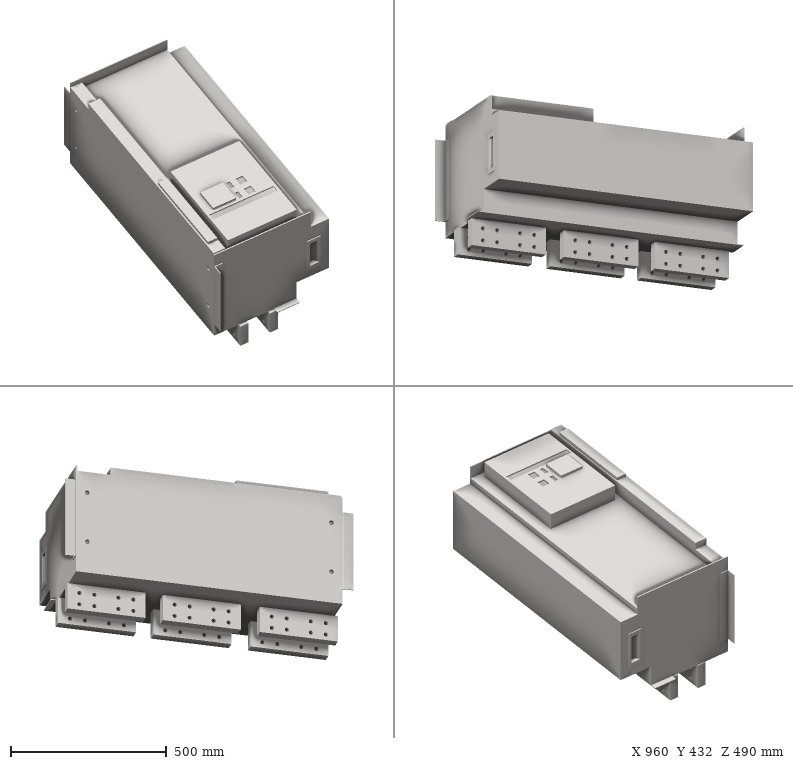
import cadquery as cq


housing_width = 888
housing_depth = 309
housing_height = 332
half_width = housing_width / 2
back_block_front = 364
back_block_rear = 432
back_block_bottom = 78
back_block_top = 309

side_plate_thickness = 4
side_plate_top = 378
front_wall_depth = 43.5
front_wall_top = 384
inner_half_width = half_width - side_plate_thickness
notch_right = -329
notch_floor = 358
top_bar_x = (91, 398)
top_bar_y = (5, 40)
top_bar_top = 396

front_hole_diameter = 16
front_hole_depth = 10
front_hole_x = 407
front_hole_heights = (110, 284)

panel_x = (67.5, 420.5)
panel_y = (66, 324.5)
panel_top = 390
display_x = (203, 283)
display_y = (95, 180)
display_top = 400
button_width = 28.5
button_starts = (display_x[0], display_x[1] - button_width)
button_rows = ((193, 206), (227.5, 254))
panel_slot_x = (293, 317)
panel_slot_y = (72.5, 315)
panel_recess_depth = 5

grip_y = 374.5
grip_z = 182
grip_frame_width = 50
grip_frame_height = 134
grip_frame_thickness = 3
grip_pocket_width = 33
grip_pocket_height = 104

sheet_thickness = 3
angle_reach = 480
angle_depth = 29.5
angle_z = (54, 326)
tab_reach = 464.5
tab_y = (225, 309)

bar_centers = (-317, 0.5, 324)
bar_width = 260
bar_thickness = 31
bar_rows_y = (92, 203)
bar_length = 90
bar_hole_diameter = 14
bar_hole_offsets = (-90, -40, 40, 90)
bar_hole_heights = (-30, -70)


def block(x, y, z):
    """Box spanning the (low, high) limits given for each axis."""
    size = (x[1] - x[0], y[1] - y[0], z[1] - z[0])
    return cq.Workplane("XY").box(*size, centered=False).translate((x[0], y[0], z[0]))


def both_sides(solid):
    """Add the mirror image of a solid across the middle of the width."""
    return solid.union(solid.mirror("YZ"))


def cylinder_along_y(x, z, diameter, y_start, length):
    center = cq.Vector(x, y_start, z)
    return cq.Workplane(cq.Solid.makeCylinder(diameter / 2, length, center, cq.Vector(0, 1, 0)))


def make_housing():
    profile = [
        (0, 0),
        (housing_depth, 0),
        (housing_depth, back_block_bottom),
        (back_block_rear, back_block_bottom),
        (back_block_rear, back_block_top),
        (back_block_front, back_block_top),
        (back_block_front, housing_height),
        (0, housing_height),
    ]
    return cq.Workplane("YZ").polyline(profile).close().extrude(half_width, both=True)


def make_front_wall():
    wall_y = (0, front_wall_depth)
    low_part = block((-half_width, half_width), wall_y, (0, notch_floor))
    high_part = block((notch_right, inner_half_width), wall_y, (0, front_wall_top))
    top_bar = block(top_bar_x, top_bar_y, (notch_floor, top_bar_top))
    return low_part.union(high_part).union(top_bar)


def make_side_plates():
    plate = block((inner_half_width, half_width), (0, back_block_front), (back_block_top, side_plate_top))
    return both_sides(plate)


def cut_front_holes(body):
    for x in (-front_hole_x, front_hole_x):
        for z in front_hole_heights:
            body = body.cut(cylinder_along_y(x, z, front_hole_diameter, 0, front_hole_depth))
    return body


def make_panel():
    panel = block(panel_x, panel_y, (housing_height, panel_top))
    panel = panel.union(block(display_x, display_y, (housing_height, display_top)))
    recess_z = (panel_top - panel_recess_depth, panel_top)
    for x_start in button_starts:
        for row in button_rows:
            panel = panel.cut(block((x_start, x_start + button_width), row, recess_z))
    return panel.cut(block(panel_slot_x, panel_slot_y, recess_z))


def make_grip_frames():
    half_frame = grip_frame_width / 2
    half_height = grip_frame_height / 2
    frame = block(
        (half_width, half_width + grip_frame_thickness),
        (grip_y - half_frame, grip_y + half_frame),
        (grip_z - half_height, grip_z + half_height),
    )
    return both_sides(frame)


def make_grip_pockets():
    """Half-round pockets opening on the outer faces of the grip frames."""
    pocket = (
        cq.Workplane("XY", origin=(half_width + grip_frame_thickness, grip_y, grip_z))
        .circle(grip_pocket_width / 2)
        .extrude(grip_pocket_height / 2, both=True)
    )
    return both_sides(pocket)


def make_mounting_angles():
    """Bent sheet: a leg against the housing side and a flange flush with the front face."""
    leg_outer_x = half_width + sheet_thickness
    angle = (
        cq.Workplane("XY", origin=(0, 0, angle_z[0]))
        .moveTo(half_width, angle_depth)
        .lineTo(half_width, sheet_thickness)
        .radiusArc((leg_outer_x, 0), -sheet_thickness)
        .lineTo(angle_reach, 0)
        .lineTo(angle_reach, sheet_thickness)
        .lineTo(leg_outer_x, sheet_thickness)
        .lineTo(leg_outer_x, angle_depth)
        .close()
        .extrude(angle_z[1] - angle_z[0])
    )
    return both_sides(angle)


def make_bottom_tabs():
    return both_sides(block((half_width, tab_reach), tab_y, (0, sheet_thickness)))


def make_busbar(center_x, y_start):
    """Flat bar hanging from the housing, with two rows of four through holes."""
    half_bar = bar_width / 2
    bar = block(
        (center_x - half_bar, center_x + half_bar),
        (y_start, y_start + bar_thickness),
        (-bar_length, 0),
    )
    for offset in bar_hole_offsets:
        for z in bar_hole_heights:
            hole = cylinder_along_y(center_x + offset, z, bar_hole_diameter, y_start, bar_thickness)
            bar = bar.cut(hole)
    return bar


body = make_housing().union(make_front_wall()).union(make_side_plates())
body = cut_front_holes(body)
body = body.union(make_panel())
body = body.union(make_grip_frames()).cut(make_grip_pockets())
body = body.union(make_mounting_angles()).union(make_bottom_tabs())
for bar_x in bar_centers:
    for bar_y in bar_rows_y:
        body = body.union(make_busbar(bar_x, bar_y))

result = body